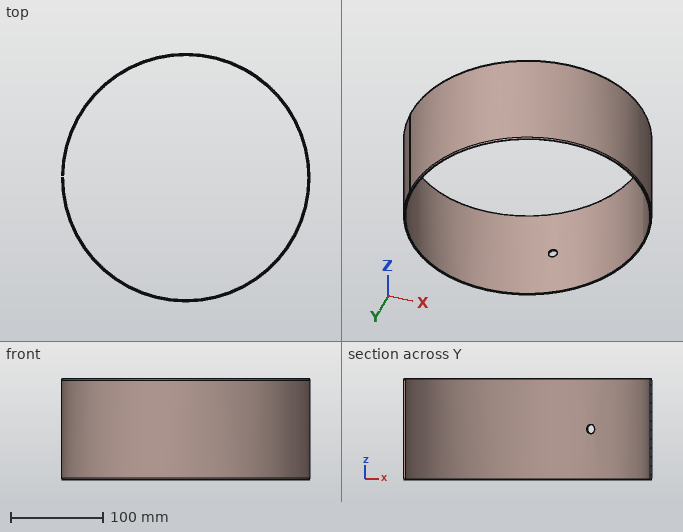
import cadquery as cq

outer_diameter = 270.0
height = 110.0
wall = 2.5
bevel_height = 2.0
bevel_depth = 0.67
inner_chamfer = 0.67

split_width = 2.2

hole_diameter = 10.0
hole_angle = 59.0
hole_height = height / 2

outer_radius = outer_diameter / 2


def make_ring():
    """Upright ring revolved from a wall section with bevelled outer and chamfered inner corners."""
    inner_radius = outer_radius - wall
    section = [
        (inner_radius + inner_chamfer, 0),
        (outer_radius - bevel_depth, 0),
        (outer_radius, bevel_height),
        (outer_radius, height - bevel_height),
        (outer_radius - bevel_depth, height),
        (inner_radius + inner_chamfer, height),
        (inner_radius, height - inner_chamfer),
        (inner_radius, inner_chamfer),
    ]
    return cq.Workplane("XZ").polyline(section).close().revolve(360, (0, 0, 0), (0, 1, 0))


def make_split():
    """Block that cuts the wall open on the -X side."""
    return cq.Workplane("XY").box(outer_radius, split_width, height, centered=False).translate(
        (-outer_radius, 0, 0)
    )


def make_hole():
    """Cylinder from the ring axis outward through one side of the wall."""
    hole = cq.Workplane("YZ").center(0, hole_height).circle(hole_diameter / 2).extrude(outer_radius)
    return hole.rotate((0, 0, 0), (0, 0, 1), hole_angle)


result = make_ring().cut(make_split()).cut(make_hole())